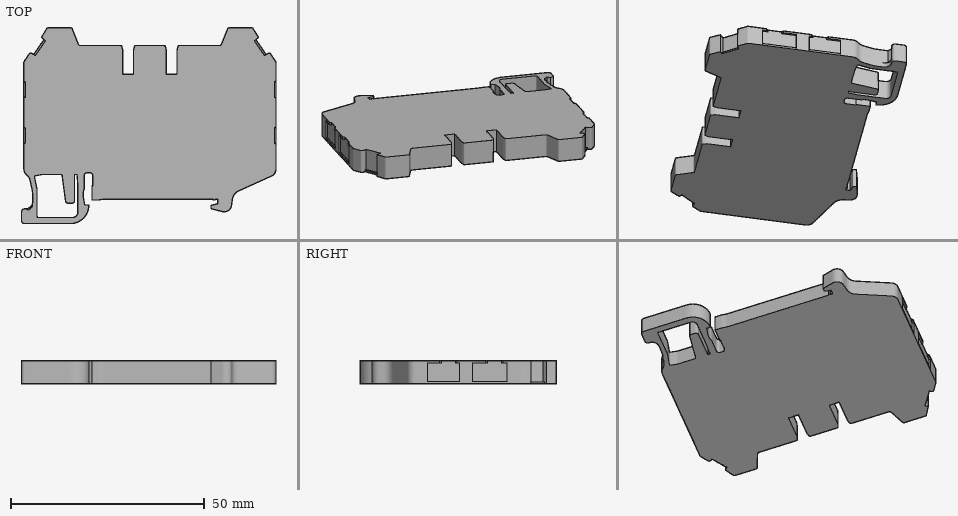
import cadquery as cq
import math

total_length = 65.7
total_height = 50.6
thickness = 6.0
body_left = 0.6
body_middle = (body_left + total_length) / 2
body_base = 6.3
base_pad = 0.2
shoulder_y = 46
cut_clearance = 0.65

slot_width = 2.7
slot_pitch = 11.25
slot_floor = 38.65
slot_mouth_flare = 0.3
slot_mouth_depth = 1.2

ear_notch_top = (5.8, 47.5)
ear_notch_bottom = (3.15, 43.7)
ear_undercut_depth = 0.5
ear_ledge = 0.45

label_pockets = [(29.0, 8.9, 32.35), (17.35, 8.2, 20.5)]
pocket_depth = 0.45
pocket_bottom = 0.6
pocket_top = 5.3
opening_length = 4.55
opening_taper = 0.45

foot_wall_x = 2.9
hook_top = 3.9
hook_corner_radius = 1.85
hook_step = 1.5


def corner_arc(before, corner, after, radius):
    """Start, middle and end of the arc that rounds one corner."""
    to_before = math.atan2(before[1] - corner[1], before[0] - corner[0])
    to_after = math.atan2(after[1] - corner[1], after[0] - corner[0])
    half_angle = abs(math.remainder(to_after - to_before, math.tau)) / 2
    bisector = to_before + math.remainder(to_after - to_before, math.tau) / 2
    tangent_length = radius / math.tan(half_angle)
    middle_distance = radius / math.sin(half_angle) - radius

    def step(angle, distance):
        return (corner[0] + distance * math.cos(angle), corner[1] + distance * math.sin(angle))

    return step(to_before, tangent_length), step(bisector, middle_distance), step(to_after, tangent_length)


def rounded_prism(corners, height):
    """Extrude a closed outline of (x, y, corner radius) entries from Z = 0."""
    outline = cq.Workplane("XY")
    for index, corner in enumerate(corners):
        before = corners[index - 1]
        after = corners[(index + 1) % len(corners)]
        radius = corner[2]
        if radius > 0:
            start, middle, end = corner_arc(before, corner, after, radius)
        else:
            start = corner[:2]
        outline = outline.lineTo(*start) if index else outline.moveTo(*start)
        if radius > 0:
            outline = outline.threePointArc(middle, end)
    return outline.close().extrude(height)


def mirrored_x(x):
    return 2 * body_middle - x


def upper_left_corners():
    """Left end face, ear and slot, from the end face to the middle."""
    slot_left = body_middle - slot_pitch / 2 - slot_width / 2
    slot_right = slot_left + slot_width
    mouth_y = shoulder_y - slot_mouth_depth
    return [
        (body_left, 41.75, 0.65),
        (2.25, 44.25, 0.5),
        (*ear_notch_bottom, 0),
        (*ear_notch_top, 0),
        (5.1, 48.1, 0),
        (6.65, total_height, 0.5),
        (13.0, total_height, 0.5),
        (14.85, shoulder_y, 0.5),
        (slot_left - slot_mouth_flare, shoulder_y, 0.3),
        (slot_left, mouth_y, 0),
        (slot_left, slot_floor, 0),
        (slot_right, slot_floor, 0),
        (slot_right, mouth_y, 0),
        (slot_right + slot_mouth_flare, shoulder_y, 0.3),
    ]


def right_hook_corners():
    """Right end slope and rail hook, from the end face to the underside."""
    return [
        (total_length, 12.8, 2.05),
        (54.7, 7.8, 2.8),
        (53.95, 2.5, 2),
        (51.65, 3.15, 0),
        (48.9, 3.9, 0),
        (48.9, 4.7, 0.1),
        (50.6, 5.2, 0),
        (50.6, body_base, 0),
        (50.0, body_base, 0),
        (50.0, body_base - base_pad, 0),
        (49.5, body_base - base_pad, 0),
        (49.5, body_base, 0),
    ]


def left_foot_corners():
    """Underside pad, spring slot and foot, from the underside to the end face."""
    pad_right = 20.05
    pad_slope_length = 1.25
    spring_slot_top = 13.15
    return [
        (pad_right + pad_slope_length, body_base, 0),
        (pad_right, body_base - base_pad, 0),
        (18.2, body_base - base_pad, 0),
        (18.2, 9.85, 0),
        (18.4, 9.85, 0),
        (18.4, spring_slot_top, 0.7),
        (16.25, spring_slot_top, 0.7),
        (16.25, 9.0, 0),
        (16.0, 8.15, 0.3),
        (16.0, 7.05, 0.3),
        (16.35, 4.85, 0),
        (17.4, 4.85, 0),
        (17.4, 0, 4.8),
        (0, 0, 0.85),
        (0, hook_top, 0.85),
        (foot_wall_x, hook_top, hook_corner_radius),
        (foot_wall_x, 8.1, 7.55),
        (2.05, 11.95, 2.6),
        (body_left, 13.3, 2.1),
    ]


def body():
    left = upper_left_corners()
    right = [(mirrored_x(x), y, radius) for x, y, radius in reversed(left)]
    return rounded_prism(left + right + right_hook_corners() + left_foot_corners(), thickness)


def foot_window():
    """Opening inside the foot, leaving a tapered tongue hanging from above."""
    window_top = 12.7
    window_floor = 1.65
    tongue_tip = 5.25
    corners = [
        (3.35, 12.3, 0.1),
        (5.4, window_top, 1.0),
        (10.45, window_top, 0.25),
        (11.45, tongue_tip, 0.65),
        (13.75, tongue_tip, 0.65),
        (13.75, window_top, 0),
        (14.3, window_top, 0),
        (14.5, 9.8, 0),
        (14.5, window_floor, 1.3),
        (4.1, window_floor, 0.25),
        (4.1, 8.9, 0),
    ]
    return rounded_prism(corners, thickness)


def both_ends(cutter):
    """Add the mirror image of a left-end cutter at the right end."""
    return cutter.union(cutter.mirror("YZ", (body_middle, 0, 0)))


def ear_undercut():
    """Deepen the sloping ear notch above its thin bottom ledge."""
    run = ear_notch_top[0] - ear_notch_bottom[0]
    rise = ear_notch_top[1] - ear_notch_bottom[1]
    length = math.hypot(run, rise)
    inset_x = ear_undercut_depth * rise / length
    inset_y = -ear_undercut_depth * run / length
    corners = [
        ear_notch_bottom,
        ear_notch_top,
        (ear_notch_top[0] + inset_x, ear_notch_top[1] + inset_y),
        (ear_notch_bottom[0] + inset_x, ear_notch_bottom[1] + inset_y),
    ]
    return cq.Workplane("XY").workplane(offset=ear_ledge).polyline(corners).close().extrude(thickness)


def label_pocket(lower_y, length, opening_y):
    """Shallow end-face pocket with a tapered opening up to the top face."""
    outer_x = body_left - cut_clearance
    inner_x = body_left + pocket_depth
    pocket = cq.Workplane("XY").box(
        inner_x - outer_x, length, pocket_top - pocket_bottom, centered=False
    ).translate((outer_x, lower_y, pocket_bottom))
    opening_end = opening_y + opening_length
    opening = (
        cq.Workplane("XY")
        .workplane(offset=pocket_bottom)
        .polyline([
            (body_left, opening_y),
            (inner_x, opening_y + opening_taper),
            (inner_x, opening_end - opening_taper),
            (body_left, opening_end),
        ])
        .close()
        .extrude(thickness)
    )
    return pocket.union(opening)


def hook_corner_relief():
    """Cut the round hook corner back to a bevel above the step."""
    bevel_upper = (foot_wall_x, 4.5)
    bevel_lower = (1.85, 3.5)
    clear_of_foot = (1.6, 5.2)
    corners = [
        (foot_wall_x, hook_top + hook_corner_radius),
        bevel_upper,
        bevel_lower,
        (foot_wall_x - hook_corner_radius, hook_top),
        clear_of_foot,
    ]
    return cq.Workplane("XY").workplane(offset=hook_step).polyline(corners).close().extrude(thickness)


result = body().cut(foot_window()).cut(hook_corner_relief()).cut(both_ends(ear_undercut()))
for pocket_sizes in label_pockets:
    result = result.cut(both_ends(label_pocket(*pocket_sizes)))